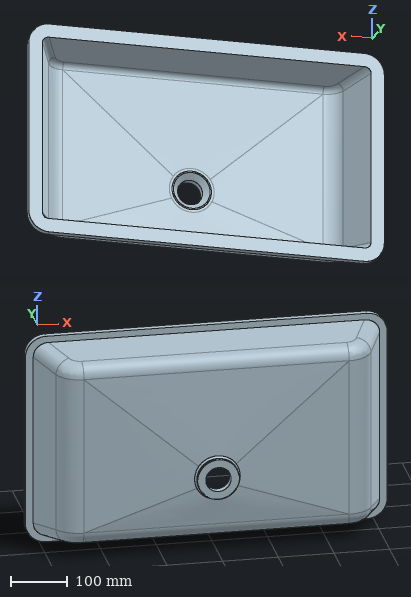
import cadquery as cq
import math

rim_length = 650.0
rim_height = 390.0
rim_thickness = 13.0
rim_corner_radius = 37.0

bowl_length = 622.0
bowl_height = 366.0
end_draft = math.radians(23.5)
side_draft = math.radians(9)
floor_edge_depth = 107.0
wall_thickness = 15.0
corner_radius = 27.0
end_radius = 49.0
side_radius = 26.5

drain_z = -55.0
floor_low_depth = 114.5
floor_ring_radius = 41.0
upper_hip_angle = 35.0
lower_hip_angle = -26.0

total_depth = 125.0
ring_thickness = 7.0
ring_radius = 37.5
plug_radius = 36.0
bore_radius = 22.5
bore_length = 14.5

seat_depth = total_depth - ring_thickness
dish_depth = total_depth - bore_length
inner_floor_depth = floor_low_depth - wall_thickness
dish_radius = bore_radius + dish_depth - inner_floor_depth


def revolve_about_drain(profile):
    """Solid of revolution about the drain axis from (radius, depth) points."""
    points = [(radius, -depth) for radius, depth in profile]
    section = cq.Workplane("XY", origin=(0, 0, drain_z)).polyline(points).close()
    return section.revolve(360, (0, 0, 0), (0, 1, 0))


def rectangle_wire(length, height, depth):
    """Closed rectangle centred on the Y axis, starting at the upper right corner."""
    x, z = length / 2, height / 2
    corners = [(x, z), (-x, z), (-x, -z), (x, -z)]
    return cq.Wire.makePolygon([cq.Vector(a, -depth, b) for a, b in corners], close=True)


def drain_point(radius, angle, depth):
    """Point on a circle about the drain axis."""
    a = math.radians(angle)
    return cq.Vector(radius * math.cos(a), -depth, drain_z + radius * math.sin(a))


def drain_wire(radius, depth):
    """Circle about the drain axis, split where the four floor hips meet it."""
    hips = [upper_hip_angle, 180 - upper_hip_angle, 180 - lower_hip_angle, 360 + lower_hip_angle]
    arcs = []
    for start, end in zip(hips, hips[1:] + [360 + upper_hip_angle]):
        points = [drain_point(radius, a, depth) for a in (start, (start + end) / 2, end)]
        arcs.append(cq.Edge.makeThreePointArc(*points))
    return cq.Wire.assembleEdges(arcs)


def tapered_block(inset):
    """Sharp-edged bowl with flat floor, every face moved inwards by the inset."""
    depth = floor_edge_depth - inset
    length = bowl_length + 2 * (rim_thickness * math.tan(end_draft) - inset / math.cos(end_draft))
    height = bowl_height + 2 * (rim_thickness * math.tan(side_draft) - inset / math.cos(side_draft))
    base_length = length - 2 * depth * math.tan(end_draft)
    base_height = height - 2 * depth * math.tan(side_draft)
    end_profile = [(length / 2, 0), (-length / 2, 0), (-base_length / 2, -depth), (base_length / 2, -depth)]
    side_profile = [(0, height / 2), (0, -height / 2), (-depth, -base_height / 2), (-depth, base_height / 2)]
    lengthwise = cq.Workplane("XY").polyline(end_profile).close().extrude(height / 2, both=True)
    crosswise = cq.Workplane("YZ").polyline(side_profile).close().extrude(length / 2, both=True)
    return lengthwise.intersect(crosswise)


def rounded_bowl(inset):
    """Bowl with its corner, end and side edges rounded in one operation, as their radii differ."""
    block = tapered_block(inset)
    floor = block.faces("<Y")
    rounding = cq.occ_impl.shapes.BRepFilletAPI_MakeFillet(block.val().wrapped)
    rounded_edges = [
        (block.edges("not(#Y)"), corner_radius),
        (floor.edges("|Z"), end_radius),
        (floor.edges("|X"), side_radius),
    ]
    for edges, radius in rounded_edges:
        for edge in edges.vals():
            rounding.Add(radius - inset, edge.wrapped)
    return cq.Workplane(cq.Shape.cast(rounding.Shape()).Solids()[0])


def floor_fall(bowl, inset):
    """Sloping floor from the rectangular flat of the bowl down to a circle at the drain."""
    flat = bowl.faces("<Y").val().BoundingBox()
    start = rectangle_wire(flat.xlen, flat.zlen, floor_edge_depth - inset)
    end = drain_wire(floor_ring_radius, floor_low_depth - inset)
    return cq.Workplane(cq.Solid.makeLoft([start, end], True))


def bowl_with_floor(inset):
    """Rounded bowl joined to its sloping floor."""
    bowl = rounded_bowl(inset)
    return bowl.union(floor_fall(bowl, inset))


def build_rim():
    """Flat flange around the open face."""
    rim = cq.Workplane("XZ").rect(rim_length, rim_height).extrude(rim_thickness)
    return rim.edges("|Y").fillet(rim_corner_radius)


def build_neck():
    """Conical neck between the floor and the seat of the drain ring."""
    return revolve_about_drain(
        [
            (0, floor_low_depth),
            (floor_ring_radius, floor_low_depth),
            (ring_radius, seat_depth),
            (0, seat_depth),
        ]
    )


def build_plug_hole():
    """Straight hole through the floor and neck that holds the plug of the drain fitting."""
    return revolve_about_drain([(0, 0), (plug_radius, 0), (plug_radius, seat_depth), (0, seat_depth)])


def build_basin():
    """Hollow basin with rim, sloping floor and a hole for the drain fitting."""
    outside = build_rim().union(bowl_with_floor(0)).union(build_neck())
    return outside.cut(bowl_with_floor(wall_thickness)).cut(build_plug_hole())


def build_drain_fitting():
    """Ring under the neck and plug up to the inner floor, with a straight bore and a 45 degree dish."""
    return revolve_about_drain(
        [
            (bore_radius, total_depth),
            (ring_radius, total_depth),
            (ring_radius, seat_depth),
            (plug_radius, seat_depth),
            (plug_radius, inner_floor_depth),
            (dish_radius, inner_floor_depth),
            (bore_radius, dish_depth),
        ]
    )


basin = build_basin()
drain_fitting = build_drain_fitting()

result = cq.Compound.makeCompound([basin.solids().val(), drain_fitting.val()])